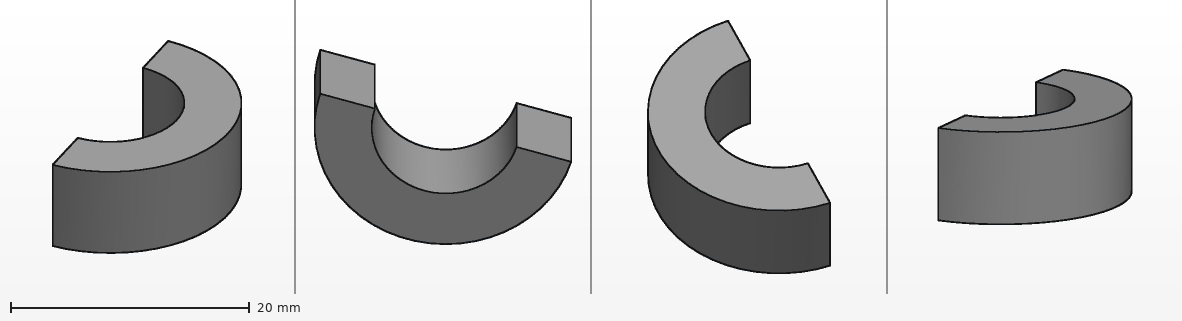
import cadquery as cq

outer_diameter = 22.0
inner_diameter = 12.4
height = 8.0

outer_radius = outer_diameter / 2
inner_radius = inner_diameter / 2

half_ring_outline = (
    cq.Workplane("XY")
    .moveTo(0, -outer_radius)
    .threePointArc((outer_radius, 0), (0, outer_radius))
    .lineTo(0, inner_radius)
    .threePointArc((inner_radius, 0), (0, -inner_radius))
    .close()
)

result = half_ring_outline.extrude(height)